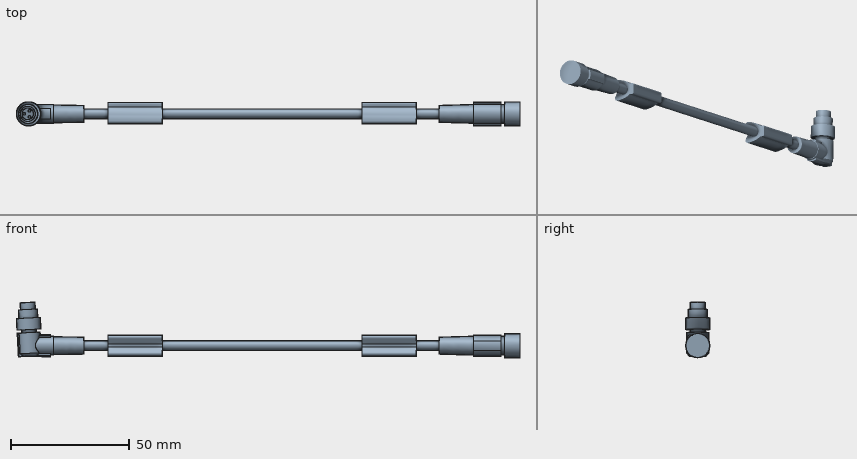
import cadquery as cq
import math


total_length = 212.7
cable_radius = 2.1

plug_tilt = 3.0
plug_body_radius = 4.7
plug_body_bottom = -4.5
plug_body_top = 5.5
plug_bottom_chamfer = 1.3
neck_radius = 3.2
nut_bottom = 6.8
nut_top = 11.7
nut_radius = 5.0
thread_top = 15.3
thread_radius = 4.0
tip_top = 18.3
tip_radius = 3.2
tip_wall = 0.75
tip_recess_depth = 2.1
pin_top = 17.7
pin_radius = 0.53
pin_circle_radius = 1.5
pin_count = 3
first_pin_angle = 60.0

tilt_angle = math.radians(plug_tilt)
plug_x = nut_radius * math.cos(tilt_angle) + nut_top * math.sin(tilt_angle)

outlet_end = 15.7
outlet_radius = 4.0
outlet_pad_end = 14.5
outlet_pad_width = 4.5
outlet_pad_radius = 4.7
sleeve_end = 28.5
sleeve_start_radius = 3.8
sleeve_end_radius = 3.6

socket_start = 178.5
socket_start_radius = 3.6
grip_start = 193.0
socket_neck_radius = 4.0
grip_end = 204.6
grip_radius = 4.5
socket_nut_start = 206.1
socket_nut_radius = 5.0

grip_pad_width = 4.0
grip_pad_radius = 5.0

carrier_length = 23.0
carrier_starts = (38.7, 146.0)
tab_reach = 4.9
tab_half_height = 2.3
tab_corner_radius = 0.75
tab_root_y = 3.0
crown_y = -0.9
crown_z = 4.0
flank_bulge = 0.28
crown_bulge = 0.1
lip_center_y = -3.2
lip_center_z = 3.5
lip_radius = 1.0
channel_flare = 25.0
channel_floor_y = -3.0
channel_floor_half_height = 0.6


def rod(radius, start, end):
    """Cylinder along the cable axis."""
    return cq.Workplane("YZ").workplane(offset=start).circle(radius).extrude(end - start)


def cone(start_radius, end_radius, start, end):
    """Round taper along the cable axis."""
    return (
        cq.Workplane("XZ")
        .moveTo(start, 0)
        .lineTo(start, start_radius)
        .lineTo(end, end_radius)
        .lineTo(end, 0)
        .close()
        .revolve(360, (0, 0, 0), (1, 0, 0))
    )


def post(radius, bottom, top):
    """Cylinder along the Z axis."""
    return cq.Workplane("XY").workplane(offset=bottom).circle(radius).extrude(top - bottom)


def contact_tip():
    """Hollow tip of the plug with its contact pins."""
    recess_floor = tip_top - tip_recess_depth
    tip = post(tip_radius, thread_top, tip_top)
    tip = tip.cut(post(tip_radius - tip_wall, recess_floor, tip_top))
    pins = (
        cq.Workplane("XY")
        .workplane(offset=thread_top)
        .polarArray(pin_circle_radius, first_pin_angle, 360, pin_count)
        .circle(pin_radius)
        .extrude(pin_top - thread_top)
    )
    return tip.union(pins)


def plug_column():
    """Leaning column of the angled plug, from its body up to the contact tip."""
    body = post(plug_body_radius, plug_body_bottom, plug_body_top)
    body = body.faces("<Z").chamfer(plug_bottom_chamfer)
    pad = cq.Workplane("XY").box(
        grip_pad_radius,
        grip_pad_width,
        plug_body_top - plug_body_bottom,
        centered=(False, True, False),
    ).translate((-grip_pad_radius, 0, plug_body_bottom))
    pad = pad.intersect(post(grip_pad_radius, plug_body_bottom, plug_body_top))
    column = body.union(pad)
    column = column.union(post(neck_radius, plug_body_top, nut_bottom))
    column = column.union(post(nut_radius, nut_bottom, nut_top))
    column = column.union(post(thread_radius, nut_top, thread_top))
    column = column.union(contact_tip())
    return column.rotate((0, 0, 0), (0, 1, 0), -plug_tilt).translate((plug_x, 0, 0))


def plug_outlet():
    """Horizontal outlet of the plug with pads above and below, then the tapered sleeve."""
    outlet = rod(outlet_radius, plug_x, outlet_end)
    pads = cq.Workplane("XY").box(
        outlet_pad_end - plug_x,
        outlet_pad_width,
        2 * outlet_pad_radius,
        centered=(False, True, True),
    ).translate((plug_x, 0, 0))
    pads = pads.intersect(rod(outlet_pad_radius, plug_x, outlet_pad_end))
    sleeve = cone(sleeve_start_radius, sleeve_end_radius, outlet_end, sleeve_end)
    return outlet.union(pads).union(sleeve)


def socket():
    """Straight socket: strain relief, grip with side pads, neck and coupling nut."""
    relief = cone(socket_start_radius, socket_neck_radius, socket_start, grip_start)
    grip = rod(grip_radius, grip_start, grip_end)
    pads = cq.Workplane("XY").box(
        grip_end - grip_start,
        2 * grip_pad_radius,
        grip_pad_width,
        centered=(False, True, True),
    ).translate((grip_start, 0, 0))
    pads = pads.intersect(rod(grip_pad_radius, grip_start, grip_end))
    neck = rod(socket_neck_radius, grip_end, socket_nut_start)
    nut = rod(socket_nut_radius, socket_nut_start, total_length)
    return relief.union(grip).union(pads).union(neck).union(nut)


def cable_assembly():
    """Cable and both moulded connectors as one body."""
    cable = rod(cable_radius, plug_x, socket_start)
    return cable.union(plug_column()).union(plug_outlet()).union(socket())


def lip_point(degrees):
    """Point on the rounded lip of the label channel, with the angle counted from +Y."""
    angle = math.radians(degrees)
    return (lip_center_y + lip_radius * math.cos(angle), lip_center_z + lip_radius * math.sin(angle))


def label_carrier(start):
    """Sleeve around the cable with a tab at +Y and a flared label channel at -Y."""
    tab_back = (tab_reach, tab_half_height - tab_corner_radius)
    tab_shoulder = (tab_reach - tab_corner_radius, tab_half_height)
    lip_top_angle = 90
    lip_end_angle = 180 + channel_flare
    lip_middle_angle = (lip_top_angle + lip_end_angle) / 2
    upper_half = (
        cq.Workplane("YZ")
        .workplane(offset=start)
        .moveTo(tab_reach, 0)
        .lineTo(*tab_back)
        .tangentArcPoint(tab_shoulder, relative=False)
        .lineTo(tab_root_y, tab_half_height)
        .sagittaArc((crown_y, crown_z), -flank_bulge)
        .sagittaArc(lip_point(lip_top_angle), -crown_bulge)
        .threePointArc(lip_point(lip_middle_angle), lip_point(lip_end_angle))
        .lineTo(channel_floor_y, channel_floor_half_height)
        .lineTo(channel_floor_y, 0)
        .close()
        .extrude(carrier_length)
    )
    carrier = upper_half.union(upper_half.mirror("XY"))
    return carrier.cut(rod(cable_radius, start, start + carrier_length))


assembly = cable_assembly()
carriers = [label_carrier(start) for start in carrier_starts]

result = cq.Compound.makeCompound([assembly.val(), *[carrier.val() for carrier in carriers]])